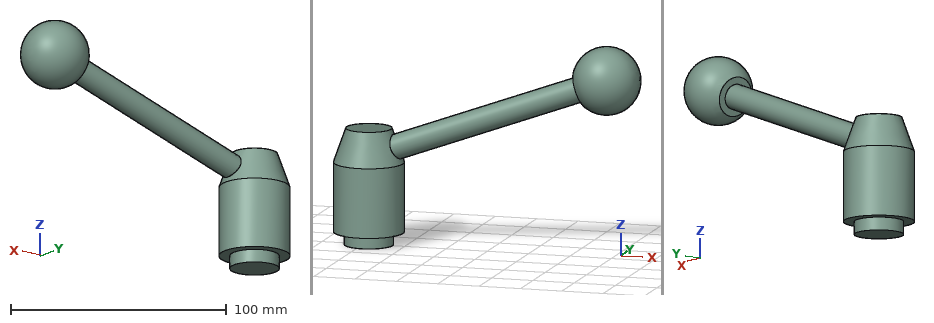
import cadquery as cq
import math

total_length = 147.6
total_height = 99.9

hub_diameter = 33.0
foot_diameter = 23.0
hub_top_diameter = 21.5
foot_height = 6.0
cone_base_height = 39.0
hub_height = 55.0

arm_diameter = 12.0
arm_angle = 20.0
ball_diameter = 32.0
ball_flat_diameter = 18.7

hub_radius = hub_diameter / 2
ball_radius = ball_diameter / 2
ball_x = total_length - hub_radius - ball_radius
ball_z = total_height - ball_radius
angle = math.radians(arm_angle)
arm_length = ball_x / math.cos(angle)
flat_distance = math.sqrt(ball_radius**2 - (ball_flat_diameter / 2) ** 2)


def make_hub():
    """Cylinder with a narrower foot below and a tapered top."""
    return (
        cq.Workplane("XZ")
        .moveTo(0, 0)
        .lineTo(foot_diameter / 2, 0)
        .lineTo(foot_diameter / 2, foot_height)
        .lineTo(hub_radius, foot_height)
        .lineTo(hub_radius, cone_base_height)
        .lineTo(hub_top_diameter / 2, hub_height)
        .lineTo(0, hub_height)
        .close()
        .revolve(360, (0, 0, 0), (0, 1, 0))
    )


ball_plane = cq.Plane(
    origin=(ball_x, 0, ball_z),
    xDir=(0, 1, 0),
    normal=(math.cos(angle), 0, math.sin(angle)),
)


def make_arm():
    """Round rod from the hub axis to the ball center."""
    return cq.Workplane(ball_plane).circle(arm_diameter / 2).extrude(-arm_length)


def make_ball():
    """Sphere cut flat where the arm enters."""
    sphere = cq.Workplane("XY").sphere(ball_radius).translate((ball_x, 0, ball_z))
    removed_cap = (
        cq.Workplane(ball_plane)
        .workplane(offset=-flat_distance)
        .circle(ball_radius)
        .extrude(flat_distance - ball_radius)
    )
    return sphere.cut(removed_cap)


result = make_hub().union(make_arm()).union(make_ball())